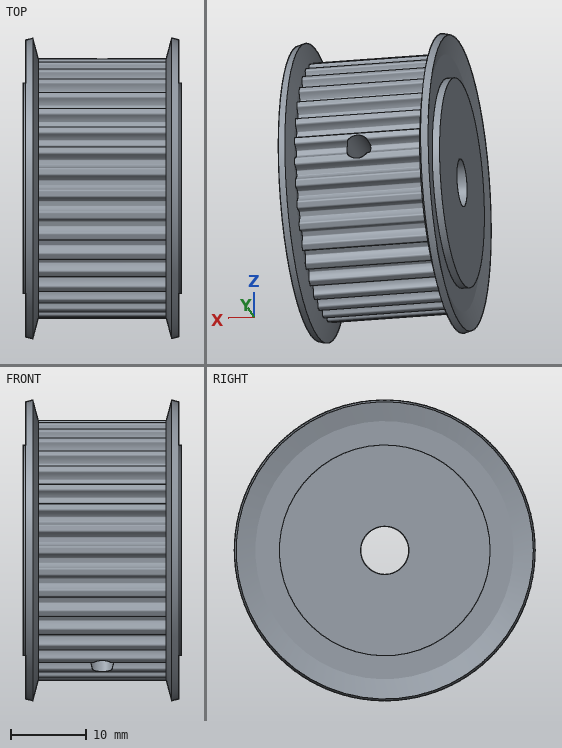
import cadquery as cq
import math


overall_length = 21.0
hub_diameter = 28.0
bore_diameter = 6.35

flange_diameter = 40.0
flange_thickness = 1.0
flare_angle = math.radians(15)

tooth_count = 37
tip_diameter = 34.55
groove_depth = 1.1
floor_half_width = 0.3
land_half_width = 0.3
lip_radius = 0.3
lip_sweep = math.radians(76)
fillet_radius = 0.15
fillet_sweep = math.radians(38)
flank_bulge = 0.06

screw_hole_diameter = 3.25
grooves_between_holes = 12

tip_radius = tip_diameter / 2
root_radius = tip_radius - groove_depth
tooth_length = overall_length - 4 * flange_thickness
flange_inner_x = tooth_length / 2
pitch_angle = 2 * math.pi / tooth_count
first_tooth_angle = math.pi
screw_hole_angles = (0, -grooves_between_holes * 360 / tooth_count)


def turned(point, angle):
    """Place a (sideways, radial) point so that its radial axis lies at the angle from +Y."""
    side, radial = point
    return (radial * math.cos(angle) - side * math.sin(angle),
            radial * math.sin(angle) + side * math.cos(angle))


def mirrored(point):
    """Swap a (sideways, radial) point to the other side of its centre line."""
    side, radial = point
    return (-side, radial)


def flank_middle(start, end):
    """Point midway along a flank, bulged to the left of the start-to-end line into the tooth."""
    dx = end[0] - start[0]
    dy = end[1] - start[1]
    shift = flank_bulge / math.hypot(dx, dy)
    return ((start[0] + end[0]) / 2 - dy * shift, (start[1] + end[1]) / 2 + dx * shift)


def lip_point(sweep):
    """Point on the rounded corner of a tooth, relative to the tooth centre line."""
    return (land_half_width + lip_radius * math.sin(sweep),
            tip_radius - lip_radius * (1 - math.cos(sweep)))


def fillet_point(sweep):
    """Point on the fillet at the groove floor, relative to the groove centre line."""
    return (floor_half_width + fillet_radius * math.sin(sweep),
            root_radius + fillet_radius * (1 - math.cos(sweep)))


def toothed_blank():
    """Toothed cylinder with hollow-flanked, flat-bottomed grooves between the teeth."""
    outline = cq.Workplane("YZ", origin=(-tooth_length / 2, 0, 0))
    outline = outline.moveTo(*turned(mirrored(lip_point(0)), first_tooth_angle))
    for tooth in range(tooth_count):
        here = first_tooth_angle + tooth * pitch_angle
        groove = here + pitch_angle / 2
        after = here + pitch_angle
        flank_start = turned(lip_point(lip_sweep), here)
        fillet_start = turned(mirrored(fillet_point(fillet_sweep)), groove)
        fillet_end = turned(fillet_point(fillet_sweep), groove)
        flank_end = turned(mirrored(lip_point(lip_sweep)), after)
        outline = (
            outline.lineTo(*turned(lip_point(0), here))
            .threePointArc(turned(lip_point(lip_sweep / 2), here), flank_start)
            .threePointArc(flank_middle(flank_start, fillet_start), fillet_start)
            .threePointArc(turned(mirrored(fillet_point(fillet_sweep / 2)), groove),
                           turned(mirrored(fillet_point(0)), groove))
            .lineTo(*turned(fillet_point(0), groove))
            .threePointArc(turned(fillet_point(fillet_sweep / 2), groove), fillet_end)
            .threePointArc(flank_middle(fillet_end, flank_end), flank_end)
            .threePointArc(turned(mirrored(lip_point(lip_sweep / 2)), after),
                           turned(mirrored(lip_point(0)), after))
        )
    return outline.close().extrude(tooth_length)


def set_screw_hole(angle):
    """Radial cylinder from the axis out past the teeth."""
    return (
        cq.Workplane("XZ")
        .circle(screw_hole_diameter / 2)
        .extrude(-tip_radius)
        .rotate((0, 0, 0), (1, 0, 0), angle)
    )


def make_pulley():
    """Toothed body with a hub at each end, the bore and the set screw holes."""
    end_plane = cq.Workplane("YZ", origin=(-overall_length / 2, 0, 0))
    hub = end_plane.circle(hub_diameter / 2).extrude(overall_length)
    bore = end_plane.circle(bore_diameter / 2).extrude(overall_length)
    pulley = toothed_blank().union(hub).cut(bore)
    for angle in screw_hole_angles:
        pulley = pulley.cut(set_screw_hole(angle))
    return pulley


def make_flange():
    """Flat ring on the +X hub whose rim flares outwards, in constant sheet thickness."""
    rim_radius = flange_diameter / 2
    outer_x = flange_inner_x + flange_thickness
    inner_rim_x = flange_inner_x + (rim_radius - tip_radius) * math.tan(flare_angle)
    outer_bend_radius = tip_radius - flange_thickness * math.tan(flare_angle / 2)
    outer_rim = (inner_rim_x + flange_thickness * math.cos(flare_angle),
                 rim_radius - flange_thickness * math.sin(flare_angle))
    return (
        cq.Workplane("XY")
        .moveTo(flange_inner_x, hub_diameter / 2)
        .lineTo(flange_inner_x, tip_radius)
        .lineTo(inner_rim_x, rim_radius)
        .lineTo(*outer_rim)
        .lineTo(outer_x, outer_bend_radius)
        .lineTo(outer_x, hub_diameter / 2)
        .close()
        .revolve(360, (0, 0, 0), (1, 0, 0))
    )


pulley = make_pulley()
flange = make_flange()
flanges = [flange.rotate((0, 0, 0), (0, 0, 1), turn).val() for turn in (0, 180)]

result = cq.Compound.makeCompound([pulley.val(), *flanges])